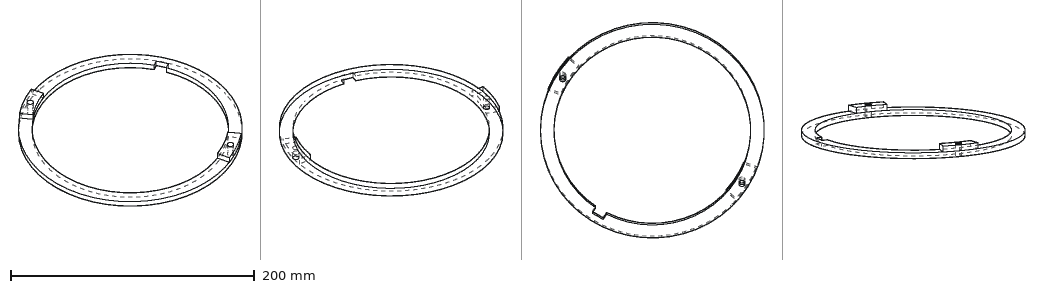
import cadquery as cq
import math

outer_radius = 91.8
inner_radius = 80.6
ring_thickness = 5.0

notch_width = 10.5
notch_floor_radius = 85.7

segment_height = 5.0
segment_half_angle = 10.0

hole_diameter = 5.1
hole_circle_radius = (outer_radius + inner_radius) / 2

segment_directions = (0.0, 180.0)


def point_at(radius, angle):
    """Point in the XY plane at a radius and an angle in degrees."""
    radians = math.radians(angle)
    return (radius * math.cos(radians), radius * math.sin(radians))


def make_ring():
    """Flat ring with a bore notch and a through hole under each segment."""
    ring = cq.Workplane("XY").circle(outer_radius).circle(inner_radius).extrude(ring_thickness)
    notch = (
        cq.Workplane("XY")
        .center(0, notch_floor_radius / 2)
        .rect(notch_width, notch_floor_radius)
        .extrude(ring_thickness)
    )
    hole_centres = [point_at(hole_circle_radius, angle) for angle in segment_directions]
    holes = (
        cq.Workplane("XY")
        .pushPoints(hole_centres)
        .circle(hole_diameter / 2)
        .extrude(ring_thickness)
    )
    return ring.cut(notch).cut(holes)


def make_segment(direction):
    """Arc-shaped block with radial ends and a vertical hole, resting on the ring."""
    start = direction - segment_half_angle
    end = direction + segment_half_angle
    block = (
        cq.Workplane("XY", origin=(0, 0, ring_thickness))
        .moveTo(*point_at(outer_radius, start))
        .threePointArc(point_at(outer_radius, direction), point_at(outer_radius, end))
        .lineTo(*point_at(inner_radius, end))
        .threePointArc(point_at(inner_radius, direction), point_at(inner_radius, start))
        .close()
        .extrude(segment_height)
    )
    hole = (
        cq.Workplane("XY", origin=(0, 0, ring_thickness))
        .center(*point_at(hole_circle_radius, direction))
        .circle(hole_diameter / 2)
        .extrude(segment_height)
    )
    return block.cut(hole)


ring = make_ring()
segments = [make_segment(direction) for direction in segment_directions]

result = cq.Compound.makeCompound([ring.val(), *[segment.val() for segment in segments]])